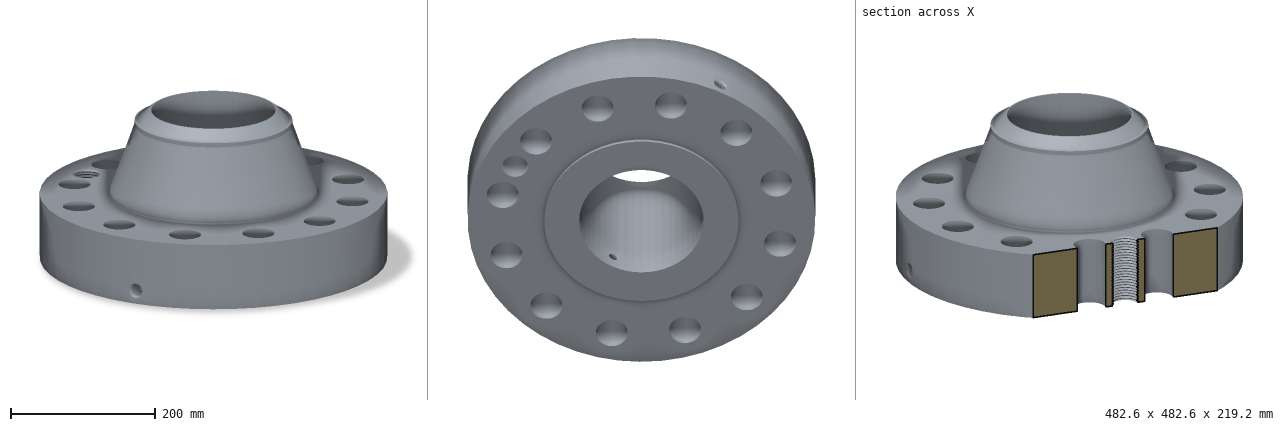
import cadquery as cq
import math


FLANGE_DIAMETER = 482.6
FLANGE_TOP = 98.5
RAISED_FACE_DIAMETER = 269.9
RAISED_FACE_HEIGHT = 5.0
OVERALL_HEIGHT = 219.2
FLANGE_THICKNESS = FLANGE_TOP - RAISED_FACE_HEIGHT

HUB_BASE_DIAMETER = 292.1
HUB_FILLET = 3.0
NECK_DIAMETER = 219.1
NECK_HEIGHT = 6.0
BORE_DIAMETER = 173.1
ROOT_LAND = 2.0
BEVEL_ANGLE = 37.5
BEVEL_WALL_THICKNESS = 19.0
SHOULDER_ANGLE = 15.0

BOLT_CIRCLE_DIAMETER = 393.7
BOLT_HOLE_DIAMETER = 44.5
BOLT_COUNT = 12
BOLT_PITCH_ANGLE = 360 / BOLT_COUNT

JACK_MAJOR_DIAMETER = 39.0
JACK_MINOR_DIAMETER = 34.7
JACK_THREAD_PITCH = 4.0

TAP_HEIGHT = 24.0
TAP_BORE_DIAMETER = 12.7
TAP_MAJOR_DIAMETER = 21.3
TAP_THREAD_DEPTH = 1.4
TAP_THREAD_PITCH = 1.814
TAP_THREAD_COUNT = 11
TAP_TAPER = 1 / 16


def make_body():
    """Revolve the flange, hub and bore as one profile."""
    bore_radius = BORE_DIAMETER / 2
    neck_radius = NECK_DIAMETER / 2
    root_radius = bore_radius + ROOT_LAND
    shoulder_radius = bore_radius + BEVEL_WALL_THICKNESS
    bevel_height = (shoulder_radius - root_radius) * math.tan(math.radians(BEVEL_ANGLE))
    shoulder_height = (neck_radius - shoulder_radius) * math.tan(math.radians(SHOULDER_ANGLE))
    bevel_bottom = OVERALL_HEIGHT - bevel_height
    neck_top = bevel_bottom - shoulder_height
    neck_bottom = neck_top - NECK_HEIGHT
    profile = (
        cq.Workplane("XZ")
        .moveTo(bore_radius, 0)
        .lineTo(RAISED_FACE_DIAMETER / 2, 0)
        .lineTo(RAISED_FACE_DIAMETER / 2, RAISED_FACE_HEIGHT)
        .lineTo(FLANGE_DIAMETER / 2, RAISED_FACE_HEIGHT)
        .lineTo(FLANGE_DIAMETER / 2, FLANGE_TOP)
        .lineTo(HUB_BASE_DIAMETER / 2, FLANGE_TOP)
        .lineTo(neck_radius, neck_bottom)
        .lineTo(neck_radius, neck_top)
        .lineTo(shoulder_radius, bevel_bottom)
        .lineTo(root_radius, OVERALL_HEIGHT)
        .lineTo(bore_radius, OVERALL_HEIGHT)
        .close()
    )
    body = profile.revolve(360, (0, 0, 0), (0, 1, 0))
    base_radius = HUB_BASE_DIAMETER / 2
    base_box = cq.selectors.BoxSelector(
        (-base_radius - HUB_FILLET, -base_radius - HUB_FILLET, FLANGE_TOP - HUB_FILLET),
        (base_radius + HUB_FILLET, base_radius + HUB_FILLET, FLANGE_TOP + HUB_FILLET),
        boundingbox=True,
    )
    return body.edges("%CIRCLE").edges(base_box).fillet(HUB_FILLET)


def make_bolt_holes():
    """Through holes that straddle the X and Y axes."""
    return (
        cq.Workplane("XY")
        .polarArray(BOLT_CIRCLE_DIAMETER / 2, BOLT_PITCH_ANGLE / 2, 360, BOLT_COUNT)
        .circle(BOLT_HOLE_DIAMETER / 2)
        .extrude(FLANGE_TOP)
    )


def make_thread(major_radius, depth, pitch, count, taper=0.0):
    """Cutter of stacked V rings, from Z = 0 upward; the radius shrinks with height by the taper."""
    profile = cq.Workplane("XZ").lineTo(major_radius, 0)
    for turn in range(count):
        crest_height = (turn + 0.5) * pitch
        root_height = (turn + 1) * pitch
        profile = profile.lineTo(major_radius - depth - taper * crest_height, crest_height)
        profile = profile.lineTo(major_radius - taper * root_height, root_height)
    profile = profile.lineTo(0, count * pitch).close()
    return profile.revolve(360, (0, 0, 0), (0, 1, 0))


def make_jack_hole():
    """Threaded through hole for the jack screw."""
    thread_depth = (JACK_MAJOR_DIAMETER - JACK_MINOR_DIAMETER) / 2
    turns = math.ceil(FLANGE_THICKNESS / JACK_THREAD_PITCH)
    thread = make_thread(JACK_MAJOR_DIAMETER / 2, thread_depth, JACK_THREAD_PITCH, turns)
    thread_bottom = FLANGE_TOP - turns * JACK_THREAD_PITCH
    return thread.translate((-BOLT_CIRCLE_DIAMETER / 2, 0, thread_bottom))


def make_tap(side):
    """Radial tap from the rim into the bore; side is -1 for -Y and +1 for +Y."""
    rim_radius = FLANGE_DIAMETER / 2
    thread = make_thread(
        TAP_MAJOR_DIAMETER / 2, TAP_THREAD_DEPTH, TAP_THREAD_PITCH, TAP_THREAD_COUNT, TAP_TAPER / 2
    )
    tap = thread.union(cq.Workplane("XY").circle(TAP_BORE_DIAMETER / 2).extrude(rim_radius))
    tap = tap.rotate((0, 0, 0), (1, 0, 0), 90 * side)
    return tap.translate((0, side * rim_radius, TAP_HEIGHT))


result = make_body().cut(make_bolt_holes()).cut(make_jack_hole())
for tap_side in (-1, 1):
    result = result.cut(make_tap(tap_side))